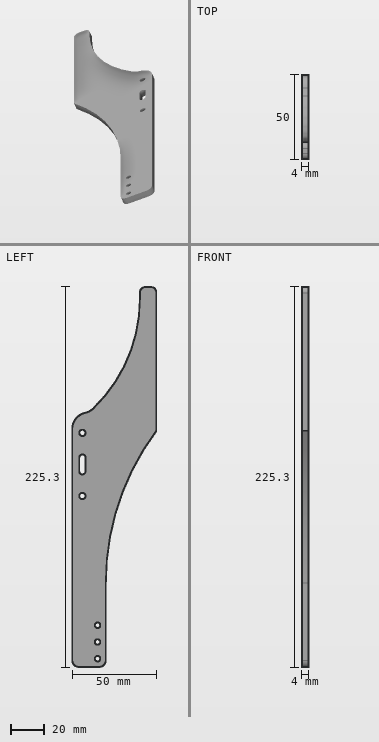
import cadquery as cq
import math

THICKNESS = 4.0
DEPTH = 50.0
HEIGHT = 225.3

LEG_WIDTH = 20.0
TIP_WIDTH = 10.0
FOOT_RADIUS = 4.0
TIP_RADIUS = 3.4
LOWER_SWEEP_RADIUS = 150.0
LOWER_SWEEP_START = 50.0
UPPER_SWEEP_RADIUS = 90.0
UPPER_SWEEP_START = 218.1
SHOULDER_RADIUS = 10.0
SHOULDER_START = 141.0
BLEND_RADIUS = 10.0

UPPER_HOLE_DIAMETER = 3.5
UPPER_HOLE_INSET = 6.0
UPPER_HOLE_HEIGHTS = (101.5, 138.8)
SLOT_LENGTH = 11.7
LOWER_HOLE_DIAMETER = 3.2
LOWER_HOLE_Y = DEPTH - 15.0
LOWER_HOLE_BOTTOM = 5.0
LOWER_HOLE_PITCH = 10.0
LOWER_HOLE_COUNT = 3


def point_toward(start, end, distance):
    """Point at a distance from start along the ray through end."""
    span = math.dist(start, end)
    return tuple(s + (e - s) * distance / span for s, e in zip(start, end))


def arc_middle(center, start, end, radius):
    """Middle of the shorter arc from start to end."""
    chord_middle = tuple((s + e) / 2 for s, e in zip(start, end))
    return point_toward(center, chord_middle, radius)


def blend_center(shoulder_center, sweep_center):
    """Center of the arc tangent to the shoulder and, from inside, to the upper sweep."""
    from_shoulder = SHOULDER_RADIUS + BLEND_RADIUS
    from_sweep = UPPER_SWEEP_RADIUS - BLEND_RADIUS
    span = math.dist(shoulder_center, sweep_center)
    along = (from_shoulder**2 - from_sweep**2 + span**2) / (2 * span)
    across = math.sqrt(from_shoulder**2 - along**2)
    y_dir = (sweep_center[0] - shoulder_center[0]) / span
    z_dir = (sweep_center[1] - shoulder_center[1]) / span
    return (
        shoulder_center[0] + along * y_dir - across * z_dir,
        shoulder_center[1] + along * z_dir + across * y_dir,
    )


def make_plate():
    """Extrude the closed side outline, running from the foot up the -Y side."""
    leg_y = DEPTH - LEG_WIDTH
    lower_center = (leg_y - LOWER_SWEEP_RADIUS, LOWER_SWEEP_START)
    lower_start = (leg_y, LOWER_SWEEP_START)
    lower_rise = math.sqrt(LOWER_SWEEP_RADIUS**2 - lower_center[0] ** 2)
    lower_end = (0, LOWER_SWEEP_START + lower_rise)

    upper_start = (TIP_WIDTH, UPPER_SWEEP_START)
    upper_center = (TIP_WIDTH + UPPER_SWEEP_RADIUS, upper_start[1])
    shoulder_center = (DEPTH - SHOULDER_RADIUS, SHOULDER_START)
    shoulder_end = (DEPTH, SHOULDER_START)
    blend = blend_center(shoulder_center, upper_center)
    upper_end = point_toward(upper_center, blend, UPPER_SWEEP_RADIUS)
    shoulder_top = point_toward(shoulder_center, blend, SHOULDER_RADIUS)

    return (
        cq.Workplane("YZ")
        .moveTo(leg_y + FOOT_RADIUS, 0)
        .radiusArc((leg_y, FOOT_RADIUS), FOOT_RADIUS)
        .lineTo(*lower_start)
        .threePointArc(arc_middle(lower_center, lower_start, lower_end, LOWER_SWEEP_RADIUS), lower_end)
        .lineTo(0, HEIGHT - TIP_RADIUS)
        .radiusArc((TIP_RADIUS, HEIGHT), TIP_RADIUS)
        .lineTo(TIP_WIDTH - TIP_RADIUS, HEIGHT)
        .radiusArc((TIP_WIDTH, HEIGHT - TIP_RADIUS), TIP_RADIUS)
        .lineTo(*upper_start)
        .threePointArc(arc_middle(upper_center, upper_start, upper_end, UPPER_SWEEP_RADIUS), upper_end)
        .threePointArc(arc_middle(blend, upper_end, shoulder_top, BLEND_RADIUS), shoulder_top)
        .threePointArc(
            arc_middle(shoulder_center, shoulder_top, shoulder_end, SHOULDER_RADIUS), shoulder_end
        )
        .lineTo(DEPTH, FOOT_RADIUS)
        .radiusArc((DEPTH - FOOT_RADIUS, 0), FOOT_RADIUS)
        .close()
        .extrude(THICKNESS)
    )


def make_openings():
    """Two upper holes with a slot midway between them, and a row of lower holes."""
    upper_y = DEPTH - UPPER_HOLE_INSET
    upper_points = [(upper_y, z) for z in UPPER_HOLE_HEIGHTS]
    slot_z = sum(UPPER_HOLE_HEIGHTS) / len(UPPER_HOLE_HEIGHTS)
    lower_points = [
        (LOWER_HOLE_Y, LOWER_HOLE_BOTTOM + i * LOWER_HOLE_PITCH) for i in range(LOWER_HOLE_COUNT)
    ]
    side = cq.Workplane("YZ")
    upper_holes = side.pushPoints(upper_points).circle(UPPER_HOLE_DIAMETER / 2).extrude(THICKNESS)
    slot = side.center(upper_y, slot_z).slot2D(SLOT_LENGTH, UPPER_HOLE_DIAMETER, 90).extrude(THICKNESS)
    lower_holes = (
        cq.Workplane("YZ").pushPoints(lower_points).circle(LOWER_HOLE_DIAMETER / 2).extrude(THICKNESS)
    )
    return upper_holes.union(slot).union(lower_holes)


result = make_plate().cut(make_openings())